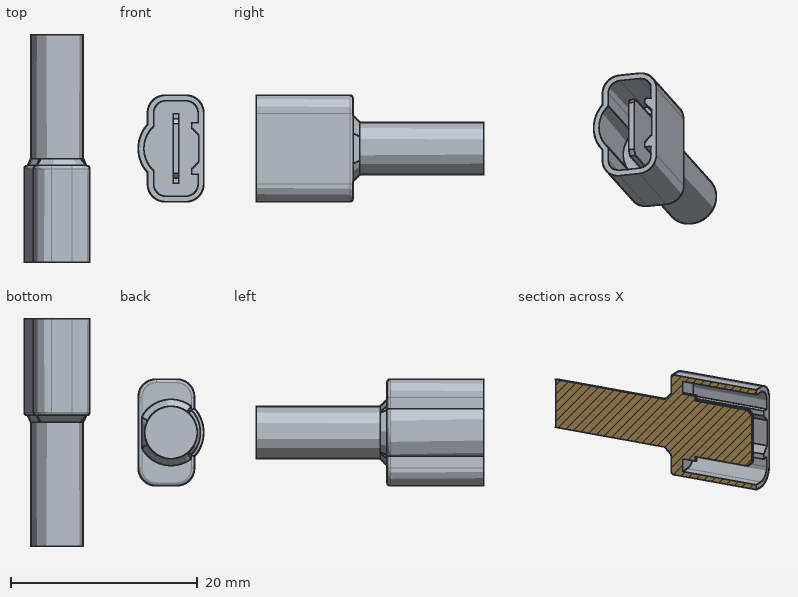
import cadquery as cq
import math

total_length = 24.38
housing_length = 10.37
flare_length = 0.74
tube_radius = 2.81

housing_height = 11.43
housing_right = 3.515
housing_left = -2.525
corner_radius = 1.92
bulge_center_x = 0.285
bulge_radius = 3.8
back_edge_radius = 0.36

wall = 0.61
left_wall = 0.66
cavity_depth = 8.9
rib_width = 0.67
rib_outer_z = 2.75
rib_inner_z = 2.18
recess_depth = 0.07

blade_center_x = 0.55
blade_thickness = 0.61
blade_tip_y = 0.53
blade_half_height = 3.2
blade_tip_chamfer = 0.53
shoulder_half_height = 3.73
shoulder_length = 1.5


def outline_block(inset, left_inset, length):
    """Housing outline extruded from Y = 0, offset inward by inset (left_inset on its left flats)."""
    left = housing_left + left_inset
    right = housing_right - inset
    height = housing_height - 2 * inset
    box = (
        cq.Workplane("XZ")
        .center((left + right) / 2, 0)
        .rect(right - left, height)
        .extrude(-length)
        .edges("|Y")
        .fillet(corner_radius - inset)
    )
    radius = bulge_radius - inset
    bulge = cq.Workplane("XZ").center(bulge_center_x, 0).circle(radius).extrude(-length)
    left_half = (
        cq.Workplane("XZ")
        .center(bulge_center_x - radius / 2, 0)
        .rect(radius, 2 * radius)
        .extrude(-length)
    )
    return box.union(bulge.intersect(left_half))


def rib(side):
    """Keying rib on the +X cavity wall; side is +1 for the upper rib, -1 for the lower."""
    wall_x = housing_right - wall
    tip_x = wall_x - rib_width
    root_x = wall_x + recess_depth
    slope_end_z = rib_inner_z - (root_x - tip_x)
    embedded_x = housing_right - wall / 2
    corners = [
        (embedded_x, rib_outer_z),
        (tip_x, rib_outer_z),
        (tip_x, rib_inner_z),
        (root_x, slope_end_z),
        (embedded_x, slope_end_z),
    ]
    points = [(x, side * z) for x, z in corners]
    return cq.Workplane("XZ").polyline(points).close().extrude(-cavity_depth)


def recess():
    """Shallow recess in the +X cavity wall between the two ribs."""
    return (
        cq.Workplane("XZ")
        .center(housing_right - wall, 0)
        .rect(2 * recess_depth, 2 * rib_inner_z)
        .extrude(-cavity_depth)
    )


def blade():
    """Flat contact blade with a chamfered tip and a wider root, fixed in the cavity floor."""
    tip_half_height = blade_half_height - blade_tip_chamfer
    shoulder_y = cavity_depth - shoulder_length
    upper_half = [
        (blade_tip_y, tip_half_height),
        (blade_tip_y + blade_tip_chamfer, blade_half_height),
        (shoulder_y, blade_half_height),
        (shoulder_y, shoulder_half_height),
        (cavity_depth, shoulder_half_height),
    ]
    lower_half = [(y, -z) for y, z in reversed(upper_half)]
    return (
        cq.Workplane("YZ", origin=(blade_center_x, 0, 0))
        .polyline(upper_half + lower_half)
        .close()
        .extrude(blade_thickness / 2, both=True)
    )


def point(y, radius, angle):
    """Point at the given radius and angle around the part's axis, angle measured from +X."""
    return cq.Vector(radius * math.cos(angle), y, radius * math.sin(angle))


def transition():
    """Flare from the tube out to the housing's back face, kept inside that face's outline.

    Both ends are split at the same six angles, so each stretch of the back-face outline
    is joined by straight rulings to the tube arc facing it.
    """
    flare_radius = tube_radius + flare_length
    right = housing_right - back_edge_radius
    left = housing_left + back_edge_radius
    bulge = bulge_radius - back_edge_radius

    right_z = math.sqrt(flare_radius**2 - right**2)
    left_z = math.sqrt(flare_radius**2 - left**2)
    bulge_z = math.sqrt(bulge**2 - (left - bulge_center_x) ** 2)
    upper_corners = [(right, right_z), (left, left_z), (left, bulge_z)]
    lower_corners = [(x, -z) for x, z in reversed(upper_corners)]
    corners = upper_corners + lower_corners

    top_angle = (math.atan2(right_z, right) + math.atan2(left_z, left)) / 2
    top_middle = point(housing_length, flare_radius, top_angle)
    bottom_middle = point(housing_length, flare_radius, -top_angle)
    bulge_middle = cq.Vector(bulge_center_x - bulge, housing_length, 0)
    middles = [top_middle, None, bulge_middle, None, bottom_middle, None]

    wide_edges = []
    tube_edges = []
    tube_start = housing_length + flare_length
    for corner, next_corner, middle in zip(corners, corners[1:] + corners[:1], middles):
        start = cq.Vector(corner[0], housing_length, corner[1])
        end = cq.Vector(next_corner[0], housing_length, next_corner[1])
        if middle:
            wide_edges.append(cq.Edge.makeThreePointArc(start, middle, end))
        else:
            wide_edges.append(cq.Edge.makeLine(start, end))

        start_angle = math.atan2(corner[1], corner[0])
        sweep = (math.atan2(next_corner[1], next_corner[0]) - start_angle) % math.tau
        tube_edges.append(
            cq.Edge.makeThreePointArc(
                point(tube_start, tube_radius, start_angle),
                point(tube_start, tube_radius, start_angle + sweep / 2),
                point(tube_start, tube_radius, start_angle + sweep),
            )
        )

    wide_end = cq.Wire.assembleEdges(wide_edges)
    tube_end = cq.Wire.assembleEdges(tube_edges)
    return cq.Workplane(cq.Solid.makeLoft([wide_end, tube_end], True))


def tube():
    """Solid round tube from the housing's back wall to the far end."""
    start = (cavity_depth + housing_length) / 2
    return (
        cq.Workplane("XZ", origin=(0, start, 0))
        .circle(tube_radius)
        .extrude(start - total_length)
    )


housing = outline_block(0, 0, housing_length).faces(">Y").edges().fillet(back_edge_radius)
cavity = outline_block(wall, left_wall, cavity_depth).union(recess())
housing = housing.cut(cavity).union(rib(1)).union(rib(-1)).union(blade())
result = housing.union(transition()).union(tube())